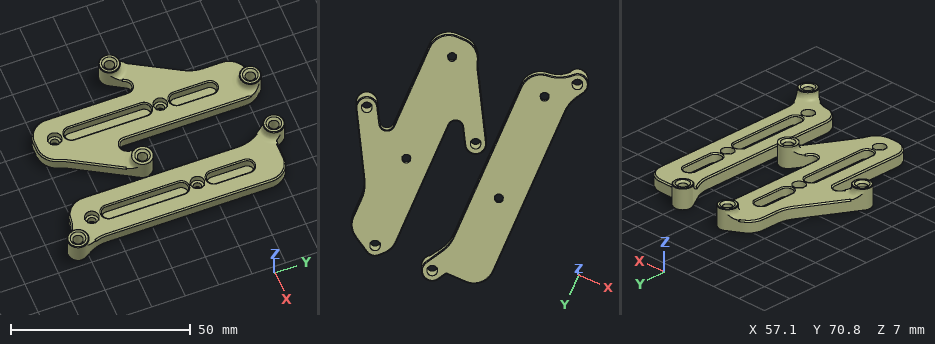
import cadquery as cq
import math

plate_height = 4.0
boss_height = 7.0
top_chamfer = 0.4
bottom_chamfer = 0.3

corner_radius = 6.0
blend_radius = 10.0
notch_radius = 2.0

boss_radius = 3.05
boss_rim_chamfer = 0.2
boss_hole_radius = 1.45
boss_hole_chamfer = 0.7
cove_radius = 2.0

screw_hole_radius = 1.2
counterbore_radius = 2.02
counterbore_depth = 2.0
screw_rows = (6.1, -25.5)

pocket_width = 4.0
pocket_chamfer = 0.35
pocket_depth = 3.0
pocket_spans = [(8.9, 22.9), (-22.5, 3.25)]

left_bracket_low_x = -16.55
left_bracket_high_x = -2.55
left_bracket_screw_x = -9.55
right_bracket_low_x = 11.3
right_bracket_high_x = 25.55
right_bracket_screw_x = 18.55

lower_corner_y = screw_rows[1]




def boss_corner(x, y):
    return (x, y, boss_radius)


def hollow_beside(corner, angle, radius):
    """Hollow that touches a round corner in the given direction, in radians."""
    x, y, corner_size = corner
    reach = corner_size + radius
    return (x + reach * math.cos(angle), y + reach * math.sin(angle), -radius)


def hollow_between(first, second, radius):
    """Hollow that touches two round corners, on the right of the way from first to second."""
    dx = second[0] - first[0]
    dy = second[1] - first[1]
    distance = math.hypot(dx, dy)
    first_reach = first[2] + radius
    second_reach = second[2] + radius
    cosine = (first_reach**2 + distance**2 - second_reach**2) / (2 * first_reach * distance)
    return hollow_beside(first, math.atan2(dy, dx) - math.acos(cosine), radius)


def rim_point(corner, angle):
    x, y, radius = corner
    return cq.Vector(x + radius * math.cos(angle), y + radius * math.sin(angle), 0)


def tangent_normal(first, second):
    """Outward direction, in radians, of the line tangent to two neighbouring corners."""
    dx = second[0] - first[0]
    dy = second[1] - first[1]
    cosine = (first[2] - second[2]) / math.hypot(dx, dy)
    return math.atan2(dy, dx) - math.acos(max(-1.0, min(1.0, cosine)))


def outline(corners):
    """Closed wire counterclockwise around the corners, joined by their common tangent lines."""
    full_turn = 2 * math.pi
    shortest_line = 0.0001
    following = corners[1:] + corners[:1]
    normals = [tangent_normal(first, second) for first, second in zip(corners, following)]
    edges = []
    for i, corner in enumerate(corners):
        start_angle = normals[i - 1]
        end_angle = normals[i]
        radius = corner[2]
        end = rim_point(corner, end_angle)
        if radius != 0:
            if radius > 0:
                turn = (end_angle - start_angle) % full_turn
            else:
                turn = -((start_angle - end_angle) % full_turn)
            start = rim_point(corner, start_angle)
            middle = rim_point(corner, start_angle + turn / 2)
            edges.append(cq.Edge.makeThreePointArc(start, middle, end))
        next_start = rim_point(following[i], end_angle)
        if (next_start - end).Length > shortest_line:
            edges.append(cq.Edge.makeLine(end, next_start))
    return cq.Wire.assembleEdges(edges)


def prism(wire, height):
    return cq.Workplane("XY").add(wire).toPending().extrude(height)


def plate(wire):
    body = prism(wire, plate_height)
    body = body.faces("<Z").chamfer(bottom_chamfer)
    return body.faces(">Z").chamfer(top_chamfer)


def cove(x, y, wire):
    """Hollow-curved foot of a boss, trimmed by the outline of the bracket."""
    cove_top = plate_height + cove_radius
    bend = cove_radius * (1 - math.sqrt(0.5))
    foot = (
        cq.Workplane("XZ")
        .moveTo(0, bottom_chamfer)
        .lineTo(boss_radius + cove_radius, bottom_chamfer)
        .lineTo(boss_radius + cove_radius, plate_height)
        .threePointArc((boss_radius + bend, plate_height + bend), (boss_radius, cove_top))
        .lineTo(0, cove_top)
        .close()
        .revolve(360, (0, 0, 0), (0, 1, 0))
        .translate((x, y, 0))
    )
    return foot.intersect(prism(wire, boss_height))


def boss(x, y, has_rim_chamfer):
    body = (
        cq.Workplane("XY", origin=(x, y, bottom_chamfer))
        .circle(boss_radius)
        .extrude(boss_height - bottom_chamfer)
    )
    if has_rim_chamfer:
        body = body.faces(">Z").chamfer(boss_rim_chamfer)
    return body


def boss_hole(x, y):
    """Through hole with a chamfered mouth."""
    bore = cq.Workplane("XY", origin=(x, y, 0)).circle(boss_hole_radius).extrude(boss_height)
    mouth = (
        cq.Workplane("XY", origin=(x, y, boss_height - boss_hole_chamfer))
        .circle(boss_hole_radius)
        .workplane(offset=boss_hole_chamfer)
        .circle(boss_hole_radius + boss_hole_chamfer)
        .loft()
    )
    return bore.union(mouth)


def screw_hole(x, y):
    """Through hole with a counterbore."""
    bore = cq.Workplane("XY", origin=(x, y, 0)).circle(screw_hole_radius).extrude(plate_height)
    counterbore = (
        cq.Workplane("XY", origin=(x, y, plate_height))
        .circle(counterbore_radius)
        .extrude(-counterbore_depth)
    )
    return bore.union(counterbore)


def pocket(x, low_y, high_y):
    """Round-ended pocket with a chamfered rim."""
    middle_y = (low_y + high_y) / 2
    length = high_y - low_y
    recess = (
        cq.Workplane("XY", origin=(x, middle_y, plate_height))
        .slot2D(length, pocket_width, 90)
        .extrude(-pocket_depth)
    )
    rim = (
        cq.Workplane("XY", origin=(x, middle_y, plate_height))
        .slot2D(length + 2 * pocket_chamfer, pocket_width + 2 * pocket_chamfer, 90)
        .extrude(-pocket_chamfer, taper=45)
    )
    return recess.union(rim)


def bracket(corners, screw_x, chamfered_bosses, plain_bosses):
    """Plate with standoff bosses, screw holes and pockets."""
    wire = outline(corners)
    bosses = chamfered_bosses + plain_bosses
    body = plate(wire)
    for corner in bosses:
        x, y, _ = corner
        body = body.union(cove(x, y, wire))
        body = body.union(boss(x, y, corner in chamfered_bosses))
    for x, y, _ in bosses:
        body = body.cut(boss_hole(x, y))
    for y in screw_rows:
        body = body.cut(screw_hole(screw_x, y))
    for low_y, high_y in pocket_spans:
        body = body.cut(pocket(screw_x, low_y, high_y))
    return body


left_outer_boss = boss_corner(-25.5, -2.8)
left_upper_boss = boss_corner(-7.6, 32.2)
left_inner_boss = boss_corner(6.4, -5.5)
left_lower_corner = (left_bracket_low_x + corner_radius, lower_corner_y, corner_radius)
right_lower_corner = (-8.15, lower_corner_y, corner_radius)
arm_blend_angle = math.radians(-16.7)

left_bracket = bracket(
    corners=[
        left_lower_corner,
        right_lower_corner,
        hollow_beside(right_lower_corner, arm_blend_angle, blend_radius),
        left_inner_boss,
        (left_bracket_high_x + notch_radius, -7.4, -notch_radius),
        (left_bracket_high_x - corner_radius, 28.95, corner_radius),
        left_upper_boss,
        (left_bracket_low_x + corner_radius, 27.0, corner_radius),
        (left_bracket_low_x - blend_radius, 21.4, -blend_radius),
        left_outer_boss,
        (left_bracket_low_x - notch_radius, -1.0, -notch_radius),
    ],
    screw_x=left_bracket_screw_x,
    chamfered_bosses=[left_outer_boss, left_upper_boss],
    plain_bosses=[left_inner_boss],
)

right_upper_boss = boss_corner(9.85, 32.35)
right_lower_boss = boss_corner(25.5, -32.35)
right_bracket_top_y = 31.6
round_corner = (right_bracket_low_x + corner_radius, lower_corner_y, corner_radius)

right_bracket = bracket(
    corners=[
        round_corner,
        hollow_between(round_corner, right_lower_boss, blend_radius),
        right_lower_boss,
        (right_bracket_high_x + blend_radius, -23.8, -blend_radius),
        (right_bracket_high_x - corner_radius, right_bracket_top_y - corner_radius, corner_radius),
        (13.8, right_bracket_top_y, 0),
        right_upper_boss,
        (right_bracket_low_x - blend_radius, 21.0, -blend_radius),
    ],
    screw_x=right_bracket_screw_x,
    chamfered_bosses=[right_upper_boss, right_lower_boss],
    plain_bosses=[],
)

result = cq.Compound.makeCompound([left_bracket.solids().val(), right_bracket.solids().val()])